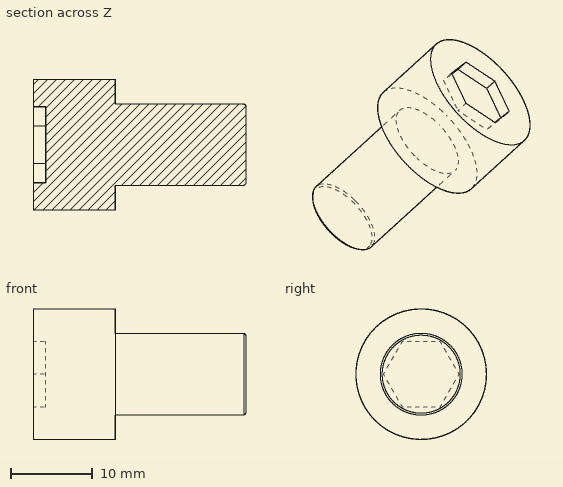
import cadquery as cq
import math

total_length = 26.0
head_length = 10.0
head_diameter = 16.0
shank_diameter = 10.0
tip_chamfer = 0.23
socket_across_flats = 8.0
socket_depth = 1.5

shank_length = total_length - head_length
socket_across_corners = socket_across_flats / math.cos(math.pi / 6)


def make_head():
    return cq.Workplane("YZ").circle(head_diameter / 2).extrude(head_length)


def make_shank():
    shank = cq.Workplane("YZ", origin=(head_length, 0, 0)).circle(shank_diameter / 2).extrude(shank_length)
    return shank.faces(">X").chamfer(tip_chamfer)


def make_socket():
    return cq.Workplane("YZ").polygon(6, socket_across_corners).extrude(socket_depth)


result = make_head().union(make_shank()).cut(make_socket())